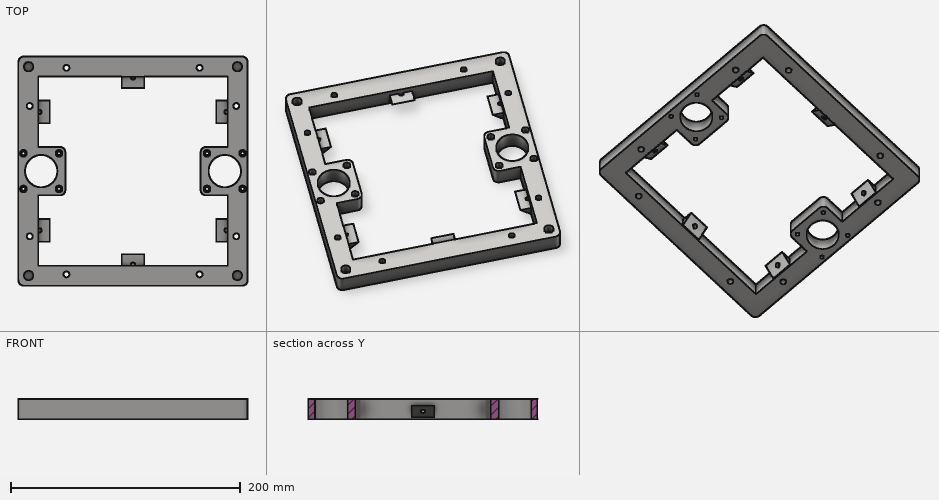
import cadquery as cq
import math

frame_side = 200.0
frame_height = 18.0
wall_width = 17.5
corner_radius = 5.0
opening_side = frame_side - 2 * wall_width
wall_face = opening_side / 2

mount_offset = 80.0
mount_side = 42.5
mount_corner_radius = 5.0
mount_bore_diameter = 28.0
mount_screw_pitch = 31.0
mount_screw_diameter = 3.2
mount_counterbore_diameter = 6.0
mount_counterbore_depth = 8.0

pin_hole_diameter = 8.2
pin_hole_depth = 10.0
pin_hole_offset = 91.0
bolt_diameter = 5.0
bolt_row_offset = 90.0
bolt_half_spacing_x = 58.0
bolt_half_spacing_y = 56.8

tab_reach = 10.0
tab_width = 20.0
tab_top = 12.0
side_tab_offset = 51.5
tab_hole_diameter = 4.0


def mirrored_points(x, y):
    """The four reflections of a point about the X and Y axes."""
    return [(sx * x, sy * y) for sx in (-1, 1) for sy in (-1, 1)]


def rounded_block(side, radius):
    return cq.Workplane("XY").rect(side, side).extrude(frame_height).edges("|Z").fillet(radius)


def through_cutter(points, diameter):
    return cq.Workplane("XY").pushPoints(points).circle(diameter / 2).extrude(frame_height)


def top_cutter(points, diameter, depth):
    """Blind holes going down from the top face."""
    top = cq.Workplane("XY").workplane(offset=frame_height)
    return top.pushPoints(points).circle(diameter / 2).extrude(-depth)


def place_tab(shape, angle, shift):
    """Slide a shape from the +X wall along that wall, then turn it about Z."""
    return shape.translate((0, shift, 0)).rotate((0, 0, 0), (0, 0, 1), angle)


def wedge_tab():
    """Wedge with a hole square to its slope, aimed at the corner of tab top and wall."""
    profile = [
        (wall_face, tab_top),
        (wall_face - tab_reach, tab_top),
        (wall_face, tab_top - tab_reach),
    ]
    wedge = cq.Workplane("XZ").polyline(profile).close().extrude(tab_width / 2, both=True)
    hole_start = cq.Vector(wall_face - tab_reach, 0, tab_top - tab_reach)
    hole_direction = cq.Vector(1, 0, 1)
    hole_length = 2 * math.hypot(tab_reach, tab_reach)
    hole = cq.Solid.makeCylinder(tab_hole_diameter / 2, hole_length, hole_start, hole_direction)
    return wedge.cut(cq.Workplane(hole))


opening = cq.Workplane("XY").rect(opening_side, opening_side).extrude(frame_height)
body = rounded_block(frame_side, corner_radius).cut(opening)

mount_block = rounded_block(mount_side, mount_corner_radius)
mount_centers = [(-mount_offset, 0), (mount_offset, 0)]
outer_limit = cq.Workplane("XY").rect(frame_side, frame_side).extrude(frame_height)
for x, y in mount_centers:
    block = mount_block.translate((x, y, 0))
    body = body.union(block.intersect(outer_limit))

tab = wedge_tab()
tab_places = [(angle, shift) for angle in (0, 180) for shift in (-side_tab_offset, side_tab_offset)]
tab_places += [(90, 0), (270, 0)]
for angle, shift in tab_places:
    body = body.union(place_tab(tab, angle, shift))

half_pitch = mount_screw_pitch / 2
screw_points = [(x + dx, dy) for x, _ in mount_centers for dx, dy in mirrored_points(half_pitch, half_pitch)]
body = body.cut(through_cutter(mount_centers, mount_bore_diameter))
body = body.cut(through_cutter(screw_points, mount_screw_diameter))
body = body.cut(top_cutter(screw_points, mount_counterbore_diameter, mount_counterbore_depth))

bolt_points = mirrored_points(bolt_half_spacing_x, bolt_row_offset)
bolt_points += mirrored_points(bolt_row_offset, bolt_half_spacing_y)
body = body.cut(through_cutter(bolt_points, bolt_diameter))
pin_points = mirrored_points(pin_hole_offset, pin_hole_offset)
body = body.cut(top_cutter(pin_points, pin_hole_diameter, pin_hole_depth))

result = body